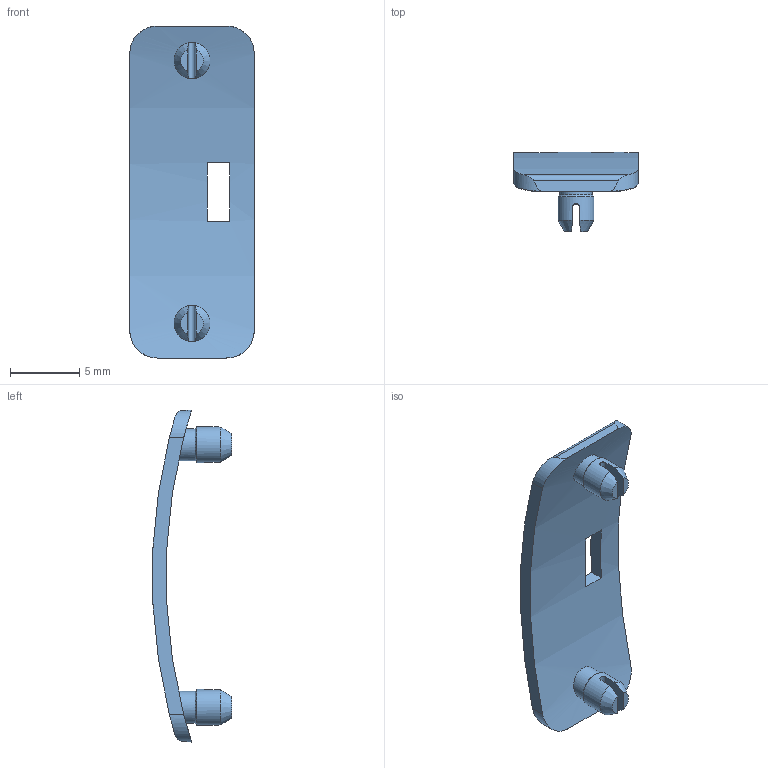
import cadquery as cq
import math

plate_width = 9.0
plate_height = 24.0
plate_thickness = 1.0
inner_radius = 40.0
outer_radius = inner_radius + plate_thickness
corner_radius = 2.0
end_edge_radius = 0.5
end_face_tilt = 5.5

window_width = 1.6
window_height = 4.25
window_center_x = 1.92

pin_spacing = 19.0
pin_tip_y = -5.74
neck_diameter = 2.32
head_diameter = 2.6
tip_diameter = 1.65
head_length = 2.65
tip_taper_length = 0.8
slot_mouth_width = 0.6
slot_inner_width = 0.5
slot_depth = 2.0

half_height = plate_height / 2


def arc_y(radius, z):
    """Y of a plate arc of the given radius at height z."""
    return math.sqrt(radius**2 - z**2) - outer_radius


def make_plate():
    inner_end_y = arc_y(inner_radius, half_height)
    end_drop = (arc_y(outer_radius, half_height) - inner_end_y) * math.tan(math.radians(end_face_tilt))
    outer_end_z = half_height - end_drop
    outer_end_y = arc_y(outer_radius, outer_end_z)

    plate = (
        cq.Workplane("YZ")
        .moveTo(inner_end_y, -half_height)
        .threePointArc((-plate_thickness, 0), (inner_end_y, half_height))
        .lineTo(outer_end_y, outer_end_z)
        .threePointArc((0, 0), (outer_end_y, -outer_end_z))
        .close()
        .extrude(plate_width / 2, both=True)
    )
    for end in (-1, 1):
        edge_point = (0, outer_end_y, end * outer_end_z)
        plate = plate.edges(cq.selectors.NearestToPointSelector(edge_point)).fillet(end_edge_radius)

    outline = (
        cq.Workplane("XZ")
        .rect(plate_width, plate_height)
        .extrude(outer_radius, both=True)
        .edges("|Y")
        .fillet(corner_radius)
    )
    return plate.intersect(outline)


def make_window():
    return (
        cq.Workplane("XZ")
        .center(window_center_x, 0)
        .rect(window_width, window_height)
        .extrude(outer_radius, both=True)
    )


def make_pin(center_z):
    neck_radius = neck_diameter / 2
    head_radius = head_diameter / 2
    shoulder_length = head_radius - neck_radius
    root_y = arc_y(outer_radius, center_z) - plate_thickness / 2
    head_y = pin_tip_y + head_length

    pin = (
        cq.Workplane("XY")
        .moveTo(0, root_y)
        .lineTo(neck_radius, root_y)
        .lineTo(neck_radius, head_y)
        .lineTo(head_radius, head_y - shoulder_length)
        .lineTo(head_radius, pin_tip_y + tip_taper_length)
        .lineTo(tip_diameter / 2, pin_tip_y)
        .lineTo(0, pin_tip_y)
        .close()
        .revolve(360, (0, 0, 0), (0, 1, 0))
    )

    mouth_x = slot_mouth_width / 2
    round_radius = slot_inner_width / 2
    slot_end_y = pin_tip_y + slot_depth
    round_start_y = slot_end_y - round_radius
    slot = (
        cq.Workplane("XY")
        .moveTo(-mouth_x, pin_tip_y)
        .lineTo(-round_radius, round_start_y)
        .threePointArc((0, slot_end_y), (round_radius, round_start_y))
        .lineTo(mouth_x, pin_tip_y)
        .close()
        .extrude(head_diameter, both=True)
    )
    return pin.cut(slot).translate((0, 0, center_z))


result = make_plate().cut(make_window())
for side in (-1, 1):
    result = result.union(make_pin(side * pin_spacing / 2))